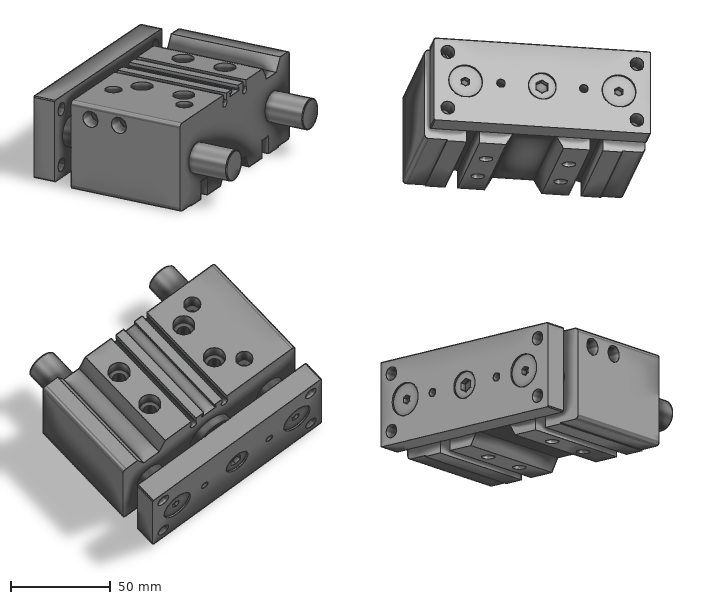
import cadquery as cq
import math


plate_thickness = 12.0
plate_width = 110.0
plate_height = 44.0
plate_edge_chamfer = 0.6

rod_dia = 16.0
guide_rod_y = 39.0
guide_rod_end = 106.0
guide_rod_chamfer = 0.5

screw_recess = 1.0
guide_screw_dia = 17.0
guide_hex_flats = 4.0
piston_screw_dia = 14.0
piston_hex_flats = 6.0
hex_depth = 3.4

corner_hole_dia = 6.8
corner_hole_y = 48.0
corner_hole_z = 15.0
dowel_hole_dia = 4.0
dowel_hole_y = 21.0
dowel_hole_chamfer = 0.1

housing_front = 22.0
housing_length = 62.5
housing_width = 112.0
housing_height = 48.0
housing_fillet = 2.0
housing_back = housing_front + housing_length
housing_middle = (housing_front + housing_back) / 2
housing_top = housing_height / 2
boss_dia = 25.0
boss_length = 5.0
boss_front = housing_front - boss_length
boss_chamfer = 0.6

relief_depth = 0.6
relief_inner_y = 44.6

trough_depth = 7.0
trough_wall_angle = 30.0
top_trough_y = 37.5
top_trough_width = 18.0
bottom_trough_width = 29.1

keyhole_y = 10.1
keyhole_width = 3.0
keyhole_bulb_dia = 4.0
keyhole_bulb_depth = 4.8

undercut_mouth_width = 7.0
undercut_mouth_depth = 1.8
undercut_floor_width = 9.2
undercut_floor_depth = 3.1

bottom_slot_y = 31.4
bottom_slot_width = 6.5
bottom_slot_depth = 9.5

mount_dia = 6.7
mount_counterbore_dia = 11.0
mount_counterbore_depth = 7.3
mount_first_x = 43.0
mount_spacing_x = 24.0
mount_y = 21.0

port_mouth_dia = 8.5
port_inner_dia = 7.8
port_depth = 8.0
passage_dia = 2.0
passage_length = 6.0
top_port_y = -32.0
top_port_xs = (32.8, 73.5)
front_port_z = 16.5
front_port_xs = (33.0, 49.4)


def cylinder_x(dia, x_start, x_end, y=0.0, z=0.0):
    """Cylinder along X between two X positions."""
    return cq.Workplane("YZ", origin=(x_start, y, z)).circle(dia / 2).extrude(x_end - x_start)


def along_housing(profile):
    """Prism of a closed YZ outline over the whole length of the housing."""
    outline = cq.Workplane("YZ", origin=(housing_front, 0, 0)).polyline(profile).close()
    return outline.extrude(housing_length)


def housing_slot(y, width, depth, side):
    """Rectangular groove cut from the top (side = 1) or the underside (side = -1)."""
    middle_z = side * (housing_top - depth / 2)
    return cq.Workplane("XY").box(housing_length, width, depth).translate((housing_middle, y, middle_z))


def trough(y, mouth_width, side):
    """Trapezoidal groove that narrows towards its floor."""
    mouth = mouth_width / 2
    floor = mouth - trough_depth * math.tan(math.radians(trough_wall_angle))
    mouth_z = side * housing_top
    floor_z = side * (housing_top - trough_depth)
    return along_housing([
        (y - mouth, mouth_z),
        (y - floor, floor_z),
        (y + floor, floor_z),
        (y + mouth, mouth_z),
    ])


def keyhole(y):
    """Narrow slot in the top that opens into a round bulb."""
    slot = housing_slot(y, keyhole_width, keyhole_bulb_depth, 1)
    bulb_z = housing_top - keyhole_bulb_depth
    bulb = cylinder_x(keyhole_bulb_dia, housing_front, housing_back, y, bulb_z)
    return slot.union(bulb)


def undercut_groove():
    """Central top groove whose floor is wider than its mouth."""
    mouth = housing_slot(0, undercut_mouth_width, undercut_floor_depth, 1)
    undercut_height = undercut_floor_depth - undercut_mouth_depth
    undercut = housing_slot(0, undercut_floor_width, undercut_height, 1)
    return mouth.union(undercut.translate((0, 0, -undercut_mouth_depth)))


def mounting_hole(x, y):
    """Through hole along Z with a counterbore in the top."""
    hole = cq.Workplane("XY", origin=(x, y, -housing_top)).circle(mount_dia / 2).extrude(housing_height)
    counterbore = (
        cq.Workplane("XY", origin=(x, y, housing_top))
        .circle(mount_counterbore_dia / 2)
        .extrude(-mount_counterbore_depth)
    )
    return hole.union(counterbore)


def air_port(mouth, direction):
    """Tapered port starting at a point on the surface, with its passage beyond."""
    start = cq.Vector(*mouth)
    inward = cq.Vector(*direction)
    taper = cq.Solid.makeCone(port_mouth_dia / 2, port_inner_dia / 2, port_depth, start, inward)
    passage_start = start + inward * port_depth
    passage = cq.Solid.makeCylinder(passage_dia / 2, passage_length, passage_start, inward)
    return cq.Workplane(taper).union(cq.Workplane(passage))


def make_housing_block():
    """Block with relieved underside edges and rounded long edges."""
    block = cq.Workplane("XY").box(housing_length, housing_width, housing_height)
    block = block.translate((housing_middle, 0, 0))
    relief_width = housing_width / 2 - relief_inner_y
    for side in (-1, 1):
        relief_y = side * (relief_inner_y + relief_width / 2)
        block = block.cut(housing_slot(relief_y, relief_width, relief_depth, -1))
    return block.faces("<Y or >Y").edges("|X").fillet(housing_fillet)


def make_housing():
    housing = make_housing_block()

    boss = cylinder_x(boss_dia, boss_front, housing_front)
    housing = housing.union(boss.faces("<X").chamfer(boss_chamfer))

    housing = housing.cut(trough(top_trough_y, top_trough_width, 1))
    housing = housing.cut(trough(0, bottom_trough_width, -1))
    housing = housing.cut(undercut_groove())
    for side in (-1, 1):
        housing = housing.cut(keyhole(side * keyhole_y))
        housing = housing.cut(housing_slot(side * bottom_slot_y, bottom_slot_width, bottom_slot_depth, -1))

    for x in (mount_first_x, mount_first_x + mount_spacing_x):
        for y in (-mount_y, mount_y):
            housing = housing.cut(mounting_hole(x, y))

    for x in top_port_xs:
        housing = housing.cut(air_port((x, top_port_y, housing_top), (0, 0, -1)))
    for x in front_port_xs:
        housing = housing.cut(air_port((x, -housing_width / 2, front_port_z), (0, 1, 0)))

    for y in (-guide_rod_y, guide_rod_y):
        housing = housing.cut(cylinder_x(rod_dia, housing_front, housing_back, y))
    return housing.cut(cylinder_x(rod_dia, boss_front, housing_front))


def rod_screw(y, head_dia, hex_flats):
    """Cutter for a shallow screw-head recess with a hexagon socket, corners up and down."""
    recess = cylinder_x(head_dia, 0, screw_recess, y)
    hex_corners = hex_flats / math.cos(math.pi / 6)
    socket = (
        cq.Workplane("YZ", origin=(0, y, 0))
        .transformed(rotate=(0, 0, 90))
        .polygon(6, hex_corners)
        .extrude(screw_recess + hex_depth)
    )
    return recess.union(socket)


def make_plate():
    plate = cq.Workplane("XY").box(plate_thickness, plate_width, plate_height)
    plate = plate.translate((plate_thickness / 2, 0, 0)).edges("|X").chamfer(plate_edge_chamfer)
    for y in (-corner_hole_y, corner_hole_y):
        for z in (-corner_hole_z, corner_hole_z):
            plate = plate.cut(cylinder_x(corner_hole_dia, 0, plate_thickness, y, z))
    for y in (-dowel_hole_y, dowel_hole_y):
        dowel_hole = cylinder_x(dowel_hole_dia, 0, plate_thickness, y)
        mouth_radius = dowel_hole_dia / 2 + dowel_hole_chamfer
        countersink = cq.Solid.makeCone(
            mouth_radius, dowel_hole_dia / 2, dowel_hole_chamfer, cq.Vector(0, y, 0), cq.Vector(1, 0, 0)
        )
        plate = plate.cut(dowel_hole).cut(cq.Workplane(countersink))
    return plate


def make_slider():
    slider = make_plate()
    for y in (-guide_rod_y, guide_rod_y):
        guide_rod = cylinder_x(rod_dia, plate_thickness, guide_rod_end, y)
        slider = slider.union(guide_rod.faces(">X").chamfer(guide_rod_chamfer))
        slider = slider.cut(rod_screw(y, guide_screw_dia, guide_hex_flats))
    slider = slider.union(cylinder_x(rod_dia, plate_thickness, housing_front))
    return slider.cut(rod_screw(0, piston_screw_dia, piston_hex_flats))


housing = make_housing()
slider = make_slider()
result = cq.Compound.makeCompound([housing.val(), slider.val()])